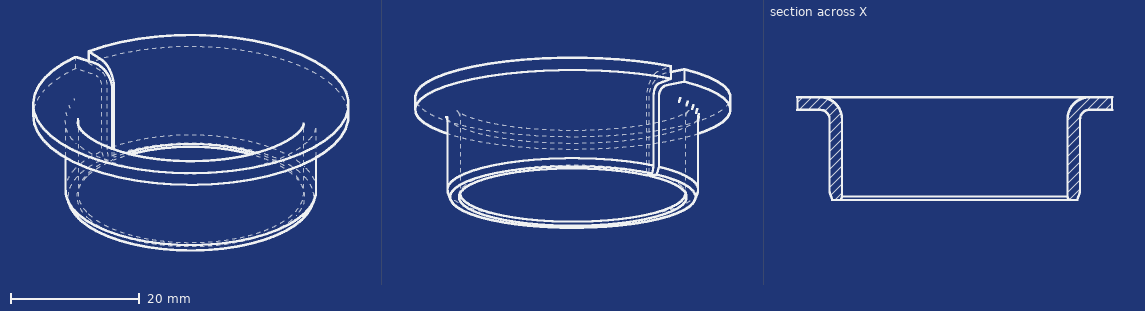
import cadquery as cq
import math

flange_radius = 24.5
height = 16.0
wall = 2.0
sleeve_radius = 19.5
bend_outer_radius = 1.45

chamfer_height = 1.2
chamfer_width = 0.45

bore_chamfer_height = 0.6
bore_chamfer_width = 0.2

split_outer_width = 2.8
split_bore_width = 0.45

bore_radius = sleeve_radius - wall
bend_center_radius = sleeve_radius + bend_outer_radius
bend_center_z = height - wall - bend_outer_radius
bend_inner_radius = bend_outer_radius + wall


def bend_midpoint(radius):
    """Middle of a quarter-circle bend, as (radial position, height)."""
    offset = radius * math.sqrt(0.5)
    return bend_center_radius - offset, bend_center_z + offset


def make_bushing():
    """Revolve the wall section, with concentric bends into the flange."""
    return (
        cq.Workplane("XZ")
        .moveTo(bore_radius, bore_chamfer_height)
        .lineTo(bore_radius + bore_chamfer_width, 0)
        .lineTo(sleeve_radius - chamfer_width, 0)
        .lineTo(sleeve_radius, chamfer_height)
        .lineTo(sleeve_radius, bend_center_z)
        .threePointArc(bend_midpoint(bend_outer_radius), (bend_center_radius, height - wall))
        .lineTo(flange_radius, height - wall)
        .lineTo(flange_radius, height)
        .lineTo(bend_center_radius, height)
        .threePointArc(bend_midpoint(bend_inner_radius), (bore_radius, bend_center_z))
        .close()
        .revolve(360, (0, 0, 0), (0, 1, 0))
        .rotate((0, 0, 0), (0, 0, 1), 180)
    )


def make_split_cutter():
    """Full-height wedge narrowing from the rim to its tip inside the bore."""
    slope = (split_outer_width - split_bore_width) / (flange_radius - bore_radius)
    tip_radius = bore_radius - split_bore_width / slope
    cutter_radius = 1.1 * flange_radius
    half_width = slope * (cutter_radius - tip_radius) / 2
    return (
        cq.Workplane("XY")
        .polyline([
            (-tip_radius, 0),
            (-cutter_radius, half_width),
            (-cutter_radius, -half_width),
        ])
        .close()
        .extrude(height)
    )


result = make_bushing().cut(make_split_cutter())